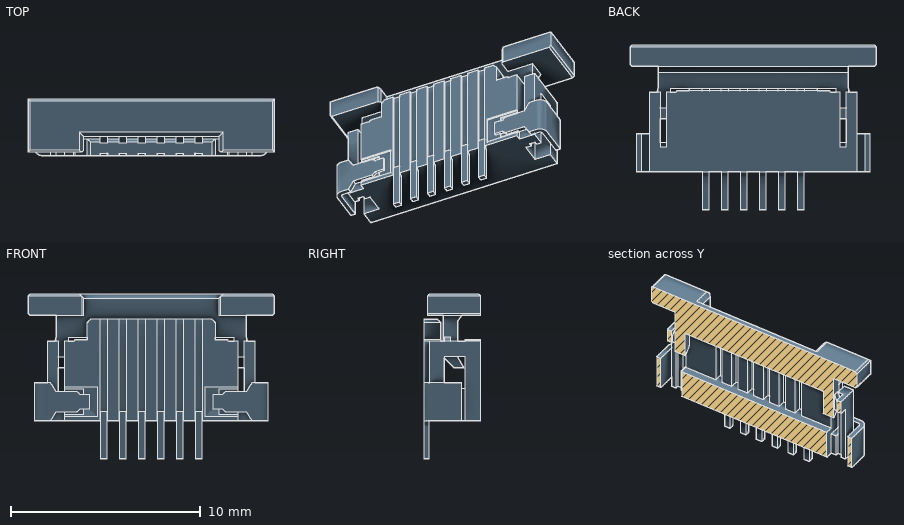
import cadquery as cq


PIN_COUNT = 6
PIN_PITCH = 1.0
PIN_WIDTH = 0.35
PIN_DEPTH = 0.29
PIN_TOP_Z = 2.5
GROOVE_WIDTH = 0.39
FRONT_GROOVE_DEPTH = 0.13
REAR_GROOVE_Y = 0.66

DEPTH = 3.0
BASE_Z = 2.0
HOUSING_TOP_Z = 6.2
CORE_HALF = 4.59
WALL_INNER_HALF = 4.9
WALL_OUTER_HALF = 5.49
WALL_FRONT_Y = 0.31
WEB_TOP_Z = 3.32
CAVITY_FRONT_Y = 1.09
CAVITY_BACK_Y = 2.17
CAVITY_FLOOR_Z = 3.72
LAND_HALF = 4.02
LAND_HEIGHT = 0.08
TONGUE_HALF = 3.38
TONGUE_DEPTH = 0.9
TONGUE_TOP_Z = 7.37
TONGUE_CHAMFER = 0.18
WINDOW_TOP_Z = 5.4
CHANNEL_HALF = 5.21
CHANNEL_FRONT_Y = 0.91
CHANNEL_BACK_Y = 1.98

SLIDER_LENGTH = 13.0
SLIDER_FRONT_Y = 0.2
SLIDER_TOP_Z = 8.7
SLIDER_HEIGHT = 1.13
SLIDER_CHAMFER = 0.1
NOTCH_HALF = 3.56
NOTCH_BEVEL = 0.23
STEM_HALF = 5.02
STEM_FRONT_Y = 1.01
STEM_BACK_Y = 1.8
STEM_BOTTOM_Z = 6.4
STEM_FLARE_DEPTH = 0.22
STEM_FLARE_HEIGHT = 0.31
LEG_INNER_HALF = 4.35
LEG_BOTTOM_Z = 4.8
LEG_SLOPE_TOP_Z = 5.37
TOE_FRONT_Y = 1.59
TOE_BACK_Y = 2.12
BARB_FRONT_Y = 1.09
BARB_BACK_Y = 1.42
BARB_TOP_Z = 6.42
BARB_FOOT_Z = 5.85

CLIP_OUTER_HALF = 6.16
CLIP_THICKNESS = 0.26
CLIP_BEND_RADIUS = 0.42
CLIP_BACK_Y = 2.0
CLIP_TOP_Z = 4.02
CLIP_PLATE_X = 5.32
ARM_ROOT_X = 5.03
ARM_STEP_X = 3.93
ARM_NECK_X = 3.76
ARM_TIP_X = 3.26
ARM_HALF_HEIGHT = 0.55
ARM_TIP_HALF_HEIGHT = 0.39
CLIP_MID_Z = (BASE_Z + CLIP_TOP_Z) / 2

POCKET_X = 2.83
POCKET_HALF_HEIGHT = 0.78
POCKET_EDGE_DEPTH = 0.08
POCKET_BEVEL_DEPTH = 0.04
RELIEF_X = 3.58
RELIEF_HALF_HEIGHT = 0.66
RELIEF_DEPTH = 0.15

SLIDER_BOTTOM_Z = SLIDER_TOP_Z - SLIDER_HEIGHT
LAND_TOP_Z = HOUSING_TOP_Z + LAND_HEIGHT
PIN_XS = [(i - (PIN_COUNT - 1) / 2) * PIN_PITCH for i in range(PIN_COUNT)]


def box(x0, x1, y0, y1, z0, z1):
    """Box between two corners."""
    return cq.Workplane("XY").box(x1 - x0, y1 - y0, z1 - z0, centered=False).translate((x0, y0, z0))


def front_prism(points, y0, y1):
    """Outline in X and Z, extruded from y0 back to y1."""
    return cq.Workplane("XZ", origin=(0, y0, 0)).polyline(points).close().extrude(y0 - y1)


def side_prism(points, x0, x1):
    """Outline in Y and Z, extruded from x0 to x1."""
    return cq.Workplane("YZ", origin=(x0, 0, 0)).polyline(points).close().extrude(x1 - x0)


def both_sides(shape):
    """The shape together with its mirror image across X = 0."""
    return shape.union(shape.mirror("YZ"))


def make_core():
    """Centre of the housing: two walls with a cable cavity between them and a raised tongue."""
    land_points = [
        (-LAND_HALF - LAND_HEIGHT, HOUSING_TOP_Z),
        (-LAND_HALF, LAND_TOP_Z),
        (LAND_HALF, LAND_TOP_Z),
        (LAND_HALF + LAND_HEIGHT, HOUSING_TOP_Z),
    ]
    tongue = box(-TONGUE_HALF, TONGUE_HALF, 0, TONGUE_DEPTH, HOUSING_TOP_Z, TONGUE_TOP_Z)
    tongue = tongue.faces(">Z").edges("|X and >Y or |Y").chamfer(TONGUE_CHAMFER)
    core = box(-CORE_HALF, CORE_HALF, 0, DEPTH, BASE_Z, HOUSING_TOP_Z)
    core = core.union(front_prism(land_points, 0, TONGUE_DEPTH))
    core = core.union(front_prism(land_points, CAVITY_BACK_Y, DEPTH))
    cavity = box(-CORE_HALF, CORE_HALF, CAVITY_FRONT_Y, CAVITY_BACK_Y, CAVITY_FLOOR_Z, HOUSING_TOP_Z)
    return core.cut(cavity).union(tongue)


def make_side_wall():
    """Right end wall with its window and stem channel, and the web joining it to the core.

    The window runs to the bottom and splits the web into a front and a rear part.
    """
    wall = box(WALL_INNER_HALF, WALL_OUTER_HALF, WALL_FRONT_Y, DEPTH, BASE_Z, HOUSING_TOP_Z)
    window = box(CORE_HALF, WALL_OUTER_HALF, CAVITY_FRONT_Y, CAVITY_BACK_Y, BASE_Z, WINDOW_TOP_Z)
    channel = box(WALL_INNER_HALF, CHANNEL_HALF, CHANNEL_FRONT_Y, CHANNEL_BACK_Y, BASE_Z, HOUSING_TOP_Z)
    web = box(CORE_HALF, WALL_INNER_HALF, WALL_FRONT_Y, DEPTH, BASE_Z, WEB_TOP_Z)
    return wall.cut(channel).union(web).cut(window)


def make_clip_pocket():
    """Right pocket: a shallow recess with a bevelled floor, with a deeper relief behind the arm."""
    bottom = CLIP_MID_Z - POCKET_HALF_HEIGHT
    top = CLIP_MID_Z + POCKET_HALF_HEIGHT
    recess = box(POCKET_X, CORE_HALF, 0, POCKET_EDGE_DEPTH, bottom, top)
    bevel = (
        cq.Workplane("XZ", origin=(0, POCKET_EDGE_DEPTH, 0))
        .center((POCKET_X + CORE_HALF) / 2, CLIP_MID_Z)
        .rect(CORE_HALF - POCKET_X, 2 * POCKET_HALF_HEIGHT)
        .workplane(offset=-POCKET_BEVEL_DEPTH)
        .center((ARM_TIP_X - POCKET_X) / 2, 0)
        .rect(CORE_HALF - ARM_TIP_X, 2 * ARM_TIP_HALF_HEIGHT)
        .loft(ruled=True)
    )
    relief_bottom = CLIP_MID_Z - RELIEF_HALF_HEIGHT
    relief_top = CLIP_MID_Z + RELIEF_HALF_HEIGHT
    relief = box(RELIEF_X, CORE_HALF, 0, RELIEF_DEPTH, relief_bottom, relief_top)
    return recess.union(bevel).union(relief)


def make_groove(x):
    """Front and rear contact grooves at one pin."""
    left = x - GROOVE_WIDTH / 2
    right = x + GROOVE_WIDTH / 2
    front = box(left, right, 0, FRONT_GROOVE_DEPTH, BASE_Z, TONGUE_TOP_Z)
    rear = box(left, right, REAR_GROOVE_Y, CAVITY_FRONT_Y, CAVITY_FLOOR_Z, TONGUE_TOP_Z)
    return front.union(rear)


def make_clip():
    """Right solder clip: a bent strip whose front plate narrows to an arm lying in the pocket."""
    height = CLIP_TOP_Z - BASE_Z
    clip = box(ARM_TIP_X, CLIP_OUTER_HALF, 0, CLIP_BACK_Y, BASE_Z, CLIP_TOP_Z)
    clip = clip.edges("|Z and >X and <Y").fillet(CLIP_BEND_RADIUS)
    inside = box(0, CLIP_OUTER_HALF - CLIP_THICKNESS, CLIP_THICKNESS, DEPTH, BASE_Z, CLIP_TOP_Z)
    inside = inside.edges("|Z and >X and <Y").fillet(CLIP_BEND_RADIUS - CLIP_THICKNESS)
    upper = [
        (CLIP_OUTER_HALF, height / 2),
        (CLIP_PLATE_X, height / 2),
        (ARM_ROOT_X, ARM_HALF_HEIGHT),
        (ARM_STEP_X, ARM_HALF_HEIGHT),
        (ARM_NECK_X, ARM_TIP_HALF_HEIGHT),
        (ARM_TIP_X, ARM_TIP_HALF_HEIGHT),
    ]
    outline = [(x, CLIP_MID_Z + z) for x, z in upper]
    outline += [(x, CLIP_MID_Z - z) for x, z in reversed(upper)]
    return clip.cut(inside).intersect(front_prism(outline, 0, CLIP_BACK_Y))


def make_slider_head():
    """Bar along the top, with a bevelled notch in front that clears the tongue."""
    half = SLIDER_LENGTH / 2
    head = box(-half, half, SLIDER_FRONT_Y, DEPTH, SLIDER_BOTTOM_Z, SLIDER_TOP_Z)
    head = head.faces(">Z").edges().chamfer(SLIDER_CHAMFER)
    head = head.faces("<Z").edges("|Y").chamfer(SLIDER_CHAMFER)

    notch = box(-NOTCH_HALF, NOTCH_HALF, -STEM_FRONT_Y, STEM_FRONT_Y, SLIDER_BOTTOM_Z, SLIDER_TOP_Z)
    bevel = (
        cq.Workplane("XY", origin=(0, 0, SLIDER_TOP_Z))
        .rect(2 * (NOTCH_HALF + NOTCH_BEVEL), 2 * (STEM_FRONT_Y + NOTCH_BEVEL))
        .workplane(offset=-NOTCH_BEVEL)
        .rect(2 * NOTCH_HALF, 2 * STEM_FRONT_Y)
        .loft(ruled=True)
    )
    head = head.cut(notch)
    corner = cq.selectors.BoxSelector(
        (-NOTCH_HALF - SLIDER_CHAMFER, 0, SLIDER_BOTTOM_Z),
        (NOTCH_HALF + SLIDER_CHAMFER, SLIDER_FRONT_Y + SLIDER_CHAMFER, SLIDER_TOP_Z),
    )
    head = head.edges("|Z").edges(corner).chamfer(SLIDER_CHAMFER)
    return head.cut(bevel)


def make_slider_stem():
    """Plate hanging from the bar, flared at its top."""
    profile = [
        (STEM_FRONT_Y, STEM_BOTTOM_Z),
        (STEM_FRONT_Y, SLIDER_BOTTOM_Z),
        (STEM_BACK_Y + STEM_FLARE_DEPTH, SLIDER_BOTTOM_Z),
        (STEM_BACK_Y, SLIDER_BOTTOM_Z - STEM_FLARE_HEIGHT),
        (STEM_BACK_Y, STEM_BOTTOM_Z),
    ]
    return side_prism(profile, -STEM_HALF, STEM_HALF)


def make_slider_leg():
    """Right slider leg with a hooked toe, and the barb that holds it in the wall channel."""
    profile = [
        (STEM_FRONT_Y, STEM_BOTTOM_Z),
        (STEM_BACK_Y, STEM_BOTTOM_Z),
        (STEM_BACK_Y, LEG_SLOPE_TOP_Z),
        (TOE_BACK_Y, LEG_BOTTOM_Z),
        (TOE_FRONT_Y, LEG_BOTTOM_Z),
        (STEM_FRONT_Y, LEG_SLOPE_TOP_Z),
    ]
    barb = [
        (STEM_HALF, BARB_TOP_Z),
        (CHANNEL_HALF, BARB_FOOT_Z),
        (CHANNEL_HALF, WINDOW_TOP_Z),
        (STEM_HALF, WINDOW_TOP_Z),
    ]
    leg = side_prism(profile, LEG_INNER_HALF, STEM_HALF)
    return leg.union(front_prism(barb, BARB_FRONT_Y, BARB_BACK_Y))


result = make_core().union(both_sides(make_side_wall())).cut(both_sides(make_clip_pocket()))
for pin_x in PIN_XS:
    result = result.cut(make_groove(pin_x))

for pin_x in PIN_XS:
    result = result.union(box(pin_x - PIN_WIDTH / 2, pin_x + PIN_WIDTH / 2, 0, PIN_DEPTH, 0, PIN_TOP_Z))

result = result.union(both_sides(make_clip()))
result = result.union(make_slider_head()).union(make_slider_stem()).union(both_sides(make_slider_leg()))